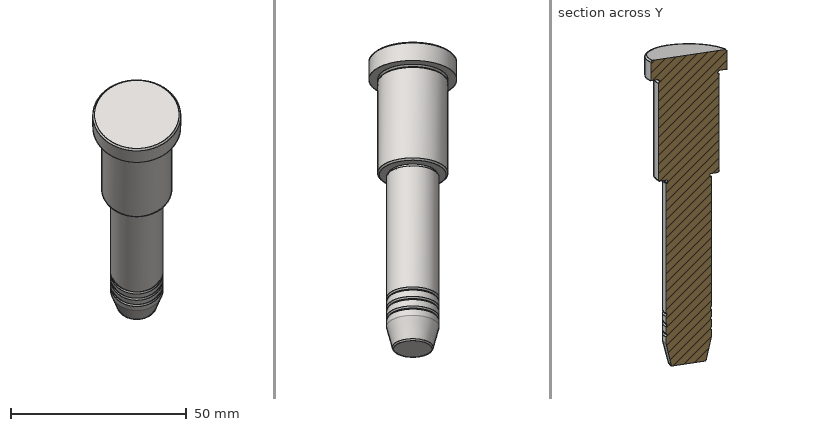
import cadquery as cq

total_length = 91.0
head_radius = 12.51
body_radius = 10.0
shaft_radius = 7.51

head_height = 6.0
body_length = 30.0
head_bottom = total_length - head_height
body_bottom = head_bottom - body_length

taper_top = 7.0
taper_end_radius = 5.8
bevel_height = 0.5
tip_radius = 5.5

edge_chamfer = 0.5

groove_width = 1.0
head_groove_depth = 0.5
shaft_groove_depth = 0.4
shaft_groove_count = 3
shaft_groove_pitch = 3.0
lowest_groove_height = 9.5

neck_length = 0.8
neck_depth = 0.5


def frustum(bottom, top, bottom_radius, top_radius):
    """Solid of revolution with straight sides between two heights."""
    profile = [(0, bottom), (bottom_radius, bottom), (top_radius, top), (0, top)]
    return cq.Workplane("XZ").polyline(profile).close().revolve(360, (0, 0, 0), (0, 1, 0))


def cylinder(bottom, top, radius):
    return frustum(bottom, top, radius, radius)


def v_groove(height, radius, depth):
    """V-section ring cutter whose widest part lies on a cylinder's surface."""
    section = [
        (radius, height - groove_width / 2),
        (radius - depth, height),
        (radius, height + groove_width / 2),
    ]
    return cq.Workplane("XZ").polyline(section).close().revolve(360, (0, 0, 0), (0, 1, 0))


head = cylinder(head_bottom, total_length, head_radius).faces(">Z").chamfer(edge_chamfer)
body = cylinder(body_bottom, head_bottom, body_radius).faces("<Z").chamfer(edge_chamfer)
neck = cylinder(body_bottom - neck_length, body_bottom, shaft_radius - neck_depth)
shaft = cylinder(taper_top, body_bottom - neck_length, shaft_radius)
taper = frustum(bevel_height, taper_top, taper_end_radius, shaft_radius)
bevel = frustum(0, bevel_height, tip_radius, taper_end_radius)
result = head.union(body).union(neck).union(shaft).union(taper).union(bevel)

head_groove_height = head_bottom - groove_width / 2
result = result.cut(v_groove(head_groove_height, body_radius, head_groove_depth))

for index in range(shaft_groove_count):
    groove_height = lowest_groove_height + index * shaft_groove_pitch
    result = result.cut(v_groove(groove_height, shaft_radius, shaft_groove_depth))